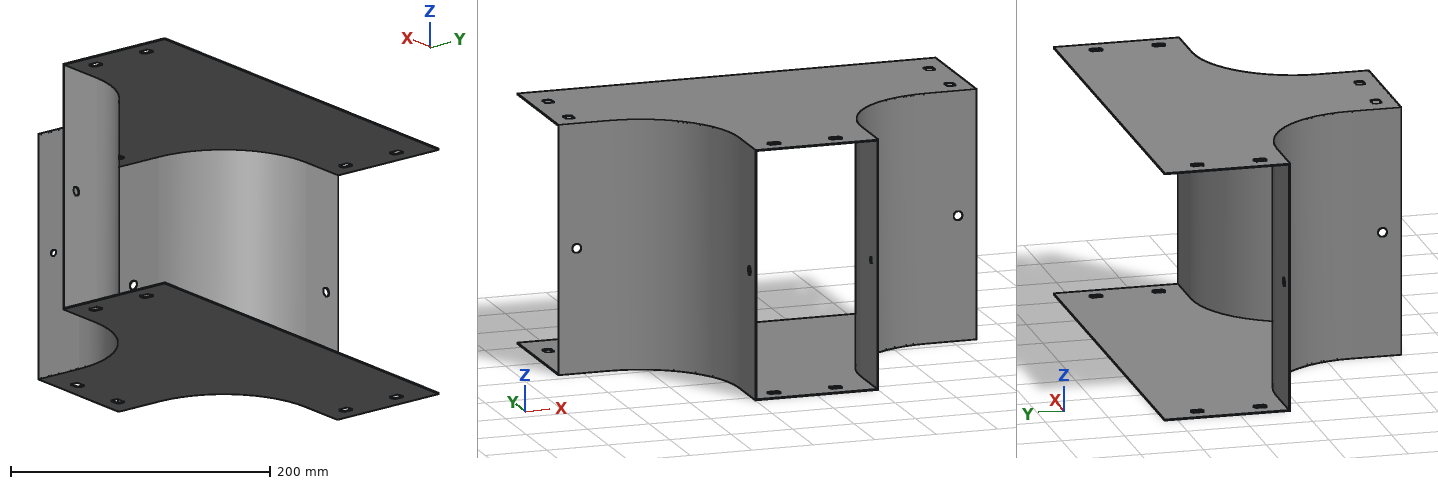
import cadquery as cq
import math

length = 340.0
depth = 220.0
height = 200.0
sheet = 1.0

arm_width = 100.0
neck_width = 100.0
bend_radius = 80.0

end_inset = 15.0
slot_length = 10.2
slot_width = 7.0
slot_spacing = 50.0
first_slot_inset = 20.0
wall_hole = 7.0
small_wall_hole = 5.0

half_length = length / 2
half_neck = neck_width / 2
back = depth / 2
front = -depth / 2
arm_front = back - arm_width
bend_x = half_neck + bend_radius
bend_y = arm_front - bend_radius
hole_x = half_length - end_inset
neck_hole_y = front + end_inset


def tee_block(inset, block_height):
    """Tee-shaped block centred on Z, its side walls moved inward by inset."""
    neck_x = half_neck - inset
    arm_y = arm_front + inset
    diagonal = (bend_radius + inset) * math.sqrt(0.5)
    bend_mid_x = bend_x - diagonal
    bend_mid_y = bend_y + diagonal
    return (
        cq.Workplane("XY", origin=(0, 0, -block_height / 2))
        .moveTo(-half_length, back)
        .lineTo(half_length, back)
        .lineTo(half_length, arm_y)
        .lineTo(bend_x, arm_y)
        .threePointArc((bend_mid_x, bend_mid_y), (neck_x, bend_y))
        .lineTo(neck_x, front)
        .lineTo(-neck_x, front)
        .lineTo(-neck_x, bend_y)
        .threePointArc((-bend_mid_x, bend_mid_y), (-bend_x, arm_y))
        .lineTo(-half_length, arm_y)
        .close()
        .extrude(block_height)
    )


def plate_slots(centres, size_x, size_y):
    """Flat-sided slots through both plates, their ends arcs of one circle about the slot centre."""
    base = cq.Workplane("XY", origin=(0, 0, -height / 2)).pushPoints(centres)
    flat_sided = base.rect(size_x, size_y).extrude(height)
    round_ended = base.circle(slot_length / 2).extrude(height)
    return flat_sided.intersect(round_ended)


def arm_wall_holes():
    """One round hole through the straight wall of each arm."""
    return (
        cq.Workplane("XZ", origin=(0, arm_front + sheet, 0))
        .pushPoints([(-hole_x, 0), (hole_x, 0)])
        .circle(wall_hole / 2)
        .extrude(sheet)
    )


def neck_wall_hole(wall_x, diameter):
    """Round hole through the neck wall whose lower-X face is at wall_x."""
    return (
        cq.Workplane("YZ", origin=(wall_x, neck_hole_y, 0))
        .circle(diameter / 2)
        .extrude(sheet)
    )


duct = tee_block(0, height).cut(tee_block(sheet, height - 2 * sheet))

arm_slot_y = arm_front + first_slot_inset
arm_slots = [
    (x, y)
    for x in (-hole_x, hole_x)
    for y in (arm_slot_y, arm_slot_y + slot_spacing)
]
neck_slot_x = first_slot_inset - half_neck
neck_slots = [(x, neck_hole_y) for x in (neck_slot_x, neck_slot_x + slot_spacing)]
duct = duct.cut(plate_slots(arm_slots, slot_width, slot_length))
duct = duct.cut(plate_slots(neck_slots, slot_length, slot_width))

duct = duct.cut(arm_wall_holes())
duct = duct.cut(neck_wall_hole(-half_neck, wall_hole))
duct = duct.cut(neck_wall_hole(half_neck - sheet, small_wall_hole))

result = duct